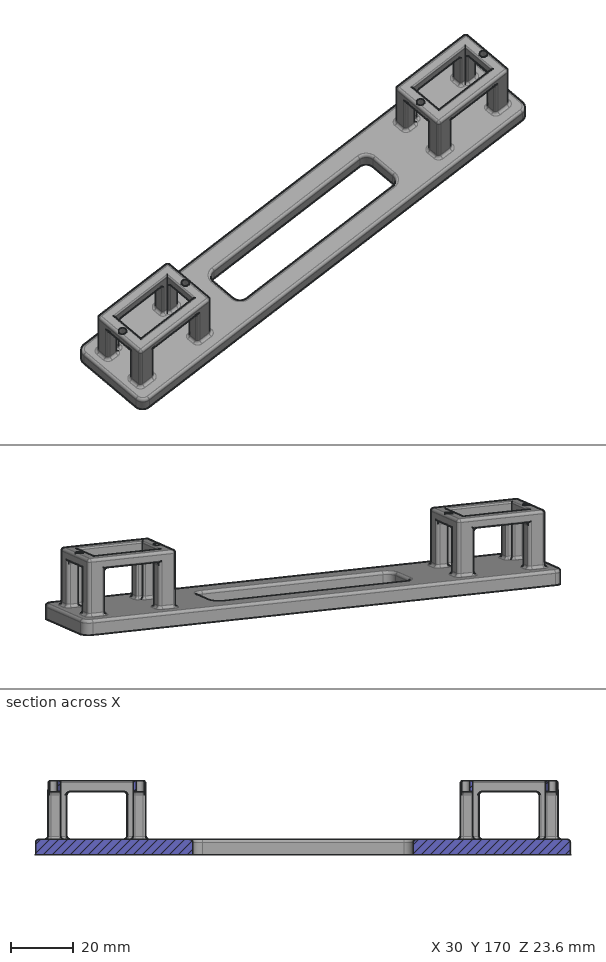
import cadquery as cq

PLATE_WIDTH = 30.0
PLATE_LENGTH = 170.0
PLATE_THICKNESS = 5.0
PLATE_CORNER_RADIUS = 3.0
SLOT_WIDTH = 15.0
SLOT_LENGTH = 70.0
SLOT_CORNER_RADIUS = 3.0

TOTAL_HEIGHT = 23.6
STAND_WIDTH = 20.0
STAND_LENGTH = 31.2
STAND_END_MARGIN = 3.9
FRAME_THICKNESS = 3.5
FRAME_OPENING_WIDTH = 12.0
FRAME_OPENING_LENGTH = 23.0
END_WINDOW_WIDTH = 10.0
SIDE_WINDOW_LENGTH = 19.0
SCREW_HOLE_DIAMETER = 2.5
SCREW_HOLE_SPACING = 27.6

EDGE_RADIUS = 1.0
LEG_INNER_EDGE_RADIUS = 0.5
LEG_FLARE_RADIUS = 1.0
FRAME_OPENING_EDGE_RADIUS = 0.5
FRAME_UNDERSIDE_EDGE_RADIUS = 0.5

PIECE_OVERLAP = 2.0

STAND_CENTER_Y = PLATE_LENGTH / 2 - STAND_END_MARGIN - STAND_LENGTH / 2
STAND_HEIGHT = TOTAL_HEIGHT - PLATE_THICKNESS
WINDOW_HEIGHT = STAND_HEIGHT - FRAME_THICKNESS


def centered_block(width, length, height):
    """Box centred on the Z axis, standing on the XY plane."""
    return cq.Workplane("XY").box(width, length, height, centered=(True, True, False))


def edges_within(body, width, length, level):
    """Edges of the body at one level that lie inside a centred rectangle."""
    slack = 0.01
    low = (-width / 2 - slack, -length / 2 - slack, level - slack)
    high = (width / 2 + slack, length / 2 + slack, level + slack)
    return body.edges(cq.selectors.BoxSelector(low, high, boundingbox=True))


def make_plate():
    slot = centered_block(SLOT_WIDTH, SLOT_LENGTH, PLATE_THICKNESS)
    plate = centered_block(PLATE_WIDTH, PLATE_LENGTH, PLATE_THICKNESS)
    plate = plate.edges("|Z").fillet(PLATE_CORNER_RADIUS)
    plate = plate.cut(slot.edges("|Z").fillet(SLOT_CORNER_RADIUS))
    return plate.faces(">Z").edges().fillet(EDGE_RADIUS)


def make_frame():
    """Rounded rectangular ring with a screw hole through each short side."""
    frame = centered_block(STAND_WIDTH, STAND_LENGTH, FRAME_THICKNESS)
    frame = frame.edges("|Z").fillet(EDGE_RADIUS)
    frame = frame.faces(">Z").edges().fillet(EDGE_RADIUS)
    frame = frame.faces("<Z").edges().fillet(FRAME_UNDERSIDE_EDGE_RADIUS)
    frame = frame.cut(centered_block(FRAME_OPENING_WIDTH, FRAME_OPENING_LENGTH, FRAME_THICKNESS))
    opening_rim = edges_within(frame, FRAME_OPENING_WIDTH, FRAME_OPENING_LENGTH, FRAME_THICKNESS)
    frame = opening_rim.fillet(FRAME_OPENING_EDGE_RADIUS)
    holes = cq.Workplane("XY").rarray(1, SCREW_HOLE_SPACING, 1, 2).circle(SCREW_HOLE_DIAMETER / 2)
    frame = frame.cut(holes.extrude(FRAME_THICKNESS))
    return frame.translate((0, 0, WINDOW_HEIGHT))


def make_leg_arm(inner_x, inner_y):
    """Pillar between an inner corner and the stand's outer corner, flared into a footing at Z = 0."""
    width = STAND_WIDTH / 2 - inner_x
    length = STAND_LENGTH / 2 - inner_y
    pillar = centered_block(width, length, WINDOW_HEIGHT + PIECE_OVERLAP)
    pillar = pillar.edges("|Z and (>X or >Y)").fillet(EDGE_RADIUS)
    pillar = pillar.edges(cq.selectors.NearestToPointSelector((-width, -length, WINDOW_HEIGHT / 2)))
    pillar = pillar.fillet(LEG_INNER_EDGE_RADIUS)

    footing_margin = 2 * LEG_FLARE_RADIUS
    footing = centered_block(width + 2 * footing_margin, length + 2 * footing_margin, PIECE_OVERLAP)
    arm = pillar.union(footing.translate((0, 0, -PIECE_OVERLAP)))
    arm = edges_within(arm, width, length, 0).fillet(LEG_FLARE_RADIUS)
    return arm.translate((inner_x + width / 2, inner_y + length / 2, 0))


def make_legs():
    """Four L-shaped legs, each made of two overlapping arms."""
    leg = make_leg_arm(END_WINDOW_WIDTH / 2, FRAME_OPENING_LENGTH / 2)
    leg = leg.union(make_leg_arm(FRAME_OPENING_WIDTH / 2, SIDE_WINDOW_LENGTH / 2))
    pair = leg.union(leg.mirror("YZ"))
    return pair.union(pair.mirror("XZ"))


def make_top_flares(legs):
    """Flares between the legs and the flat underside of the frame, as upside-down leg feet."""
    flare_height = LEG_FLARE_RADIUS + PIECE_OVERLAP
    inset = 2 * FRAME_UNDERSIDE_EDGE_RADIUS
    underside = centered_block(STAND_WIDTH - inset, STAND_LENGTH - inset, flare_height)
    underside = underside.cut(centered_block(FRAME_OPENING_WIDTH, FRAME_OPENING_LENGTH, flare_height))
    underside = underside.translate((0, 0, WINDOW_HEIGHT - LEG_FLARE_RADIUS))
    return legs.mirror("XY").translate((0, 0, WINDOW_HEIGHT)).intersect(underside)


def make_stand():
    legs = make_legs()
    return legs.union(make_top_flares(legs)).union(make_frame())


result = make_plate()
stand = make_stand()
for center_y in (-STAND_CENTER_Y, STAND_CENTER_Y):
    result = result.union(stand.translate((0, center_y, PLATE_THICKNESS)))